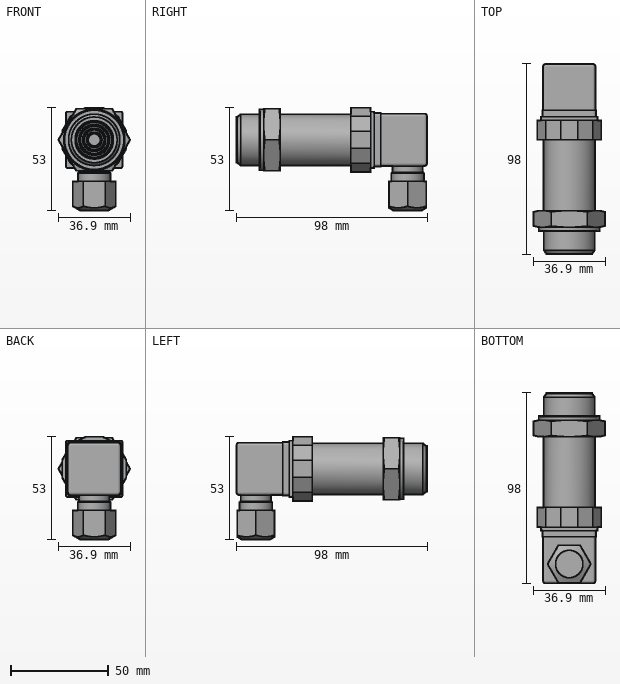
import cadquery as cq
import math

LENGTH = 98.0

shank_radius = 26.5 / 2
tube_radius = 26.6 / 2
tip_radius = 11.8
tip_lip = 0.4
tip_chamfer_end = 2.3
collar_radius = 31.5 / 2
collar_front = 11.9
collar_rim_radius = 30.5 / 2
collar_recess_depth = 0.4

groove_count = 4
groove_width = 0.9
groove_depth = 0.2
groove_pitch = 2.0
first_groove_radius = 4.0

hex_front = 14.0
hex_back = 22.5
hex_corner_diameter = 36.9
hex_face_radius = 15.9
hex_chamfer_angle = 14.0

ring_front = 58.9
ring_back = 69.0
ring_sides = 12
ring_across_flats = 33.1

flange_back = 70.9
step_back = 74.1
plug_steps = [
    (ring_back, flange_back, 29.1, 1.0),
    (flange_back, step_back, 27.6, 1.6),
    (step_back, LENGTH, 27.0, 1.6),
]
cap_back_radius = 1.5

gland_y = 88.0
neck_radius = 7.8
thread_radius = 17.0 / 2
thread_top = -16.6
thread_chamfer = 0.7
nut_top = -21.4
nut_bottom = -36.5
nut_across_flats = 19.3
nut_end_radius = 7.1
nut_chamfer_angle = 30.0


def corner_diameter(across_flats, sides):
    """Corner-to-corner diameter of a regular polygon with an even number of sides."""
    return across_flats / math.cos(math.pi / sides)


def plane_at(y):
    """Plane across the sensor axis; extrusion runs toward +Y and local x is X."""
    return cq.Workplane(cq.Plane(origin=(0, y, 0), xDir=(1, 0, 0), normal=(0, 1, 0)))


def revolve_about_y(points):
    """Solid of revolution about Y from (radius, y) points."""
    return cq.Workplane("XY").polyline(points).close().revolve(360, (0, 0), (0, 1))


def revolve_about_gland(points):
    """Solid of revolution about the vertical gland axis from (radius, z) points."""
    section = cq.Workplane("XZ", origin=(0, gland_y, 0)).polyline(points).close()
    return section.revolve(360, (0, 0), (0, 1))


def make_body():
    return revolve_about_y([
        (0, 0),
        (tip_radius, 0),
        (tip_radius, tip_lip),
        (shank_radius, tip_chamfer_end),
        (shank_radius, collar_front + collar_recess_depth),
        (collar_rim_radius, collar_front + collar_recess_depth),
        (collar_rim_radius, collar_front),
        (collar_radius, collar_front),
        (collar_radius, hex_front),
        (tube_radius, hex_front),
        (tube_radius, ring_front),
        (0, ring_front),
    ])


def make_hexagon():
    hexagon = plane_at(hex_front).polygon(6, hex_corner_diameter).extrude(hex_back - hex_front)
    corner_radius = hex_corner_diameter / 2
    chamfer = (corner_radius - hex_face_radius) * math.tan(math.radians(hex_chamfer_angle))
    envelope = revolve_about_y([
        (0, hex_front),
        (hex_face_radius, hex_front),
        (corner_radius, hex_front + chamfer),
        (corner_radius, hex_back - chamfer),
        (hex_face_radius, hex_back),
        (0, hex_back),
    ])
    return hexagon.intersect(envelope)


def make_clamp_ring():
    ring = plane_at(ring_front).polygon(ring_sides, corner_diameter(ring_across_flats, ring_sides))
    ring = ring.extrude(ring_back - ring_front)
    return ring.rotate((0, 0, 0), (0, 1, 0), 180 / ring_sides)


def make_plug():
    plug = cq.Workplane("XY")
    for front, back, side, corner_radius in plug_steps:
        step = plane_at(front).rect(side, side).extrude(back - front)
        plug = plug.union(step.edges("|Y").fillet(corner_radius))
    return plug.faces(">Y").edges().fillet(cap_back_radius)


def make_gland():
    stem = revolve_about_gland([
        (0, 0),
        (neck_radius, 0),
        (neck_radius, thread_top),
        (thread_radius, thread_top - thread_chamfer),
        (thread_radius, nut_top),
        (0, nut_top),
    ])
    nut_diameter = corner_diameter(nut_across_flats, 6)
    nut_radius = nut_diameter / 2
    chamfer = (nut_radius - nut_end_radius) * math.tan(math.radians(nut_chamfer_angle))
    nut = (
        cq.Workplane("XY", origin=(0, gland_y, nut_bottom))
        .polygon(6, nut_diameter)
        .extrude(nut_top - nut_bottom)
    )
    envelope = revolve_about_gland([
        (0, nut_bottom),
        (nut_end_radius, nut_bottom),
        (nut_radius, nut_bottom + chamfer),
        (nut_radius, nut_top),
        (0, nut_top),
    ])
    return stem.union(nut.intersect(envelope))


def cut_diaphragm_grooves(part):
    for index in range(groove_count):
        outer = first_groove_radius + index * groove_pitch
        groove = revolve_about_y([
            (outer, 0),
            (outer - groove_width / 2, groove_depth),
            (outer - groove_width, 0),
        ])
        part = part.cut(groove)
    return part


sensor = make_body()
for component in (make_hexagon(), make_clamp_ring(), make_plug(), make_gland()):
    sensor = sensor.union(component)
result = cut_diaphragm_grooves(sensor)